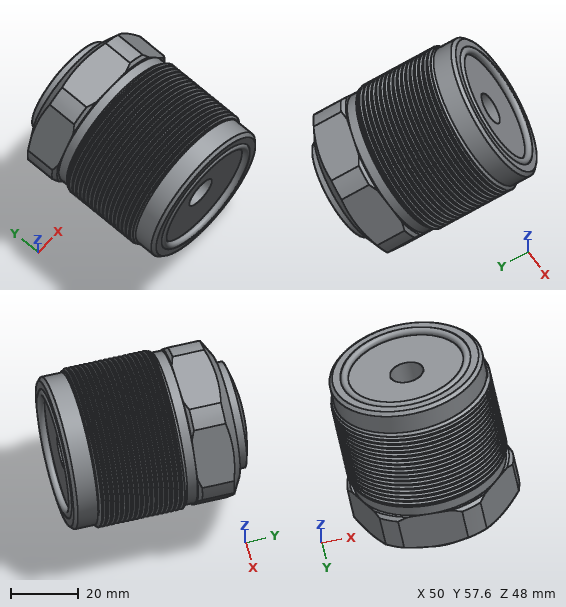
import cadquery as cq
import math

total_length = 57.6

ring_protrusion = 0.6
ring_center_radius = 18.45
ring_section_radius = 1.15
face_y = ring_protrusion
ring_center_y = ring_section_radius
recess_radius = ring_center_radius + ring_section_radius
recess_depth = 2.0
recess_floor_y = face_y + recess_depth

body_radius = 23.05
body_chamfer = 1.05
bore_radius = 5.0
bore_depth = 15.0

thread_start_y = 7.7
thread_end_y = 35.0
thread_pitch = 1.5
thread_crest_radius = 24.0
thread_start_angle = 30.0
thread_half_angle = math.radians(30)
thread_depth = 0.5 * thread_pitch
thread_root_width = thread_pitch / 8
cutter_clearance = 0.05
seam_angle = 280.0

hex_start_y = 38.05
hex_end_y = 52.1
hex_across_flats = 2 * body_radius
hex_corner_radius = 24.98
hex_start_chamfer = 1.05
hex_end_radius = 19.15
hex_cone_angle = math.radians(30)

button_radius = 16.1
button_edge_y = 54.9


def revolve_profile(profile):
    """Turn a closed XY profile about the Y axis."""
    return profile.close().revolve(360, (0, 0, 0), (0, 1, 0))


def make_body_core():
    """Chamfered cylinder and domed button as one turned shape."""
    dome_height = total_length - button_edge_y
    dome_radius = (button_radius**2 + dome_height**2) / (2 * dome_height)
    half_angle = math.asin(button_radius / dome_radius) / 2
    dome_middle = (
        dome_radius * math.sin(half_angle),
        total_length - dome_radius * (1 - math.cos(half_angle)),
    )
    return revolve_profile(
        cq.Workplane("XY")
        .moveTo(0, face_y)
        .lineTo(body_radius - body_chamfer, face_y)
        .lineTo(body_radius, face_y + body_chamfer)
        .lineTo(body_radius, hex_start_y)
        .lineTo(button_radius, hex_start_y)
        .lineTo(button_radius, button_edge_y)
        .threePointArc(dome_middle, (0, total_length))
    )


def make_hex_head():
    """Hexagon with flats at +Z and -Z, its corners rounded and both ends bevelled."""
    across_corners = hex_across_flats / math.cos(math.radians(30))
    prism = (
        cq.Workplane("XZ", origin=(0, hex_start_y, 0))
        .polygon(6, across_corners)
        .extrude(hex_start_y - hex_end_y)
    )
    cone_height = (hex_corner_radius - hex_end_radius) * math.tan(hex_cone_angle)
    envelope = revolve_profile(
        cq.Workplane("XY")
        .moveTo(0, hex_start_y)
        .lineTo(hex_corner_radius - hex_start_chamfer, hex_start_y)
        .lineTo(hex_corner_radius, hex_start_y + hex_start_chamfer)
        .lineTo(hex_corner_radius, hex_end_y - cone_height)
        .lineTo(hex_end_radius, hex_end_y)
        .lineTo(0, hex_end_y)
    )
    return prism.intersect(envelope)


def make_thread_blank():
    """Sleeve at the crest diameter with both ends bevelled at 45 degrees."""
    bevel = thread_crest_radius - body_radius
    return revolve_profile(
        cq.Workplane("XY")
        .moveTo(0, thread_start_y)
        .lineTo(body_radius, thread_start_y)
        .lineTo(thread_crest_radius, thread_start_y + bevel)
        .lineTo(thread_crest_radius, thread_end_y - bevel)
        .lineTo(body_radius, thread_end_y)
        .lineTo(0, thread_end_y)
    )


def make_thread_cutter():
    """Left-hand helical cutter that runs out past both ends of the thread."""
    root_radius = thread_crest_radius - thread_depth
    outer_radius = thread_crest_radius + cutter_clearance
    root_half = thread_root_width / 2
    outer_half = root_half + (outer_radius - root_radius) * math.tan(thread_half_angle)
    length = thread_end_y - thread_start_y + 2 * thread_pitch
    corners = [
        (root_radius, -root_half),
        (outer_radius, -outer_half),
        (outer_radius, outer_half),
        (root_radius, root_half),
    ]
    edges = [
        cq.Wire.makeHelix(thread_pitch, length, radius, lefthand=True).translate(cq.Vector(0, 0, offset))
        for radius, offset in corners
    ]
    faces = []
    for edge, next_edge in zip(edges, edges[1:] + edges[:1]):
        faces.extend(cq.Face.makeRuledSurface(edge, next_edge).Faces())
    start_points = [edge.startPoint() for edge in edges]
    end_points = [edge.endPoint() for edge in edges]
    for points in (start_points, end_points):
        faces.append(cq.Face.makeFromWires(cq.Wire.makePolygon(points, close=True)))
    cutter = cq.Workplane(obj=cq.Solid.makeSolid(cq.Shell.makeShell(faces)))
    return (
        cutter.rotate((0, 0, 0), (0, 0, 1), thread_start_angle)
        .rotate((0, 0, 0), (1, 0, 0), -90)
        .translate((0, thread_start_y - thread_pitch, 0))
    )


def make_threaded_sleeve():
    """Cylinder with the helical groove, trimmed to the bevelled blank."""
    sleeve = (
        cq.Workplane("XZ", origin=(0, thread_start_y, 0))
        .circle(thread_crest_radius)
        .extrude(thread_start_y - thread_end_y)
        .rotate((0, 0, 0), (0, 1, 0), seam_angle)
    )
    blank = make_thread_blank().rotate((0, 0, 0), (0, 1, 0), seam_angle)
    return sleeve.cut(make_thread_cutter()).intersect(blank)


def make_recess():
    """Round pocket in the front face whose wall holds the seal ring."""
    return cq.Workplane("XZ", origin=(0, face_y, 0)).circle(recess_radius).extrude(-recess_depth)


def make_bore():
    """Blind central bore from the recess floor."""
    return cq.Workplane("XZ", origin=(0, recess_floor_y, 0)).circle(bore_radius).extrude(-bore_depth)


def make_housing():
    solid = make_body_core().union(make_hex_head()).union(make_threaded_sleeve())
    return solid.cut(make_recess()).cut(make_bore())


def make_seal_ring():
    """Round-section ring seated against the recess wall."""
    return (
        cq.Workplane("XY")
        .center(ring_center_radius, ring_center_y)
        .circle(ring_section_radius)
        .revolve(360, (-ring_center_radius, 0, 0), (-ring_center_radius, 1, 0))
    )


housing = make_housing()
seal_ring = make_seal_ring()
result = cq.Compound.makeCompound([housing.val(), seal_ring.val()])